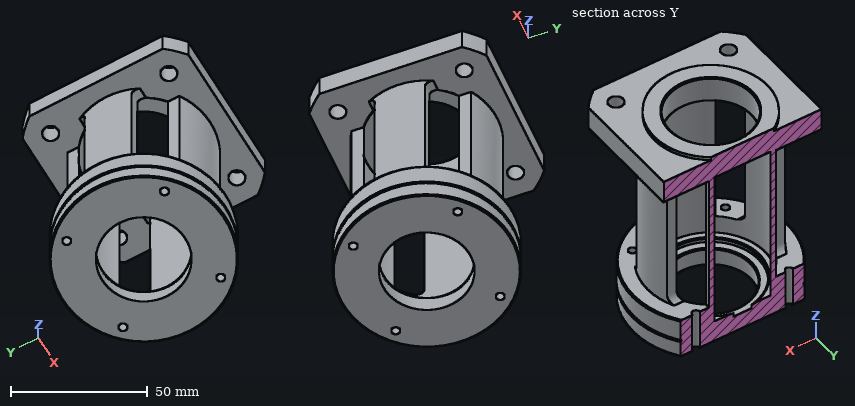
import cadquery as cq

total_height = 92
boss_height = 1.5
plate_thickness = 10.2
plate_top = total_height - boss_height
plate_bottom = plate_top - plate_thickness
flange_top = 18.0
flange_joint = 7.9

plate_width = 70.0
plate_corner_diameter = 89.8
boss_diameter = 50.0
plate_hole_diameter = 6.2
plate_hole_offset = 24.9

flange_diameter = 69
edge_chamfer = 0.5
flange_hole_diameter = 3.2
flange_hole_circle = 58.3

tube_diameter = 55.9
tube_bore = 48.0
seat_bore = 42.0
bottom_bore = 35
top_bore = 36.0
seat_top = 9.9
tube_bore_top = 80.9

side_leg_width = 19.8
front_leg_width = 30.0
window_radius = 4.3
window_overrun = 0.3


def cylinder(diameter, bottom, top):
    return cq.Workplane("XY").workplane(offset=bottom).circle(diameter / 2).extrude(top - bottom)


def chamfered_bore(diameter, bottom, top):
    """Bore cutter whose upper end widens by the edge chamfer."""
    radius = diameter / 2
    return (
        cq.Workplane("XZ")
        .moveTo(0, bottom)
        .lineTo(radius, bottom)
        .lineTo(radius, top - edge_chamfer)
        .lineTo(radius + edge_chamfer, top)
        .lineTo(0, top)
        .close()
        .revolve(360, (0, 0, 0), (0, 1, 0))
    )


def flange_disc(bottom, top):
    return cylinder(flange_diameter, bottom, top).edges().chamfer(edge_chamfer)


def make_plate():
    square = (
        cq.Workplane("XY")
        .workplane(offset=plate_bottom)
        .rect(plate_width, plate_width)
        .extrude(plate_thickness)
    )
    plate = square.intersect(cylinder(plate_corner_diameter, plate_bottom, plate_top))
    return plate.union(cylinder(boss_diameter, plate_bottom, total_height))


def make_legs():
    """Tube between flange and plate, cut by a window at each corner."""
    tube = cylinder(tube_diameter, flange_top, plate_bottom)
    window_size = tube_diameter / 2
    window_bottom = flange_top - window_overrun
    window_height = plate_bottom + window_overrun - window_bottom
    for x_side in (-1, 1):
        for y_side in (-1, 1):
            window = (
                cq.Workplane("XY")
                .box(window_size, window_size, window_height, centered=(True, True, False))
                .edges("|X")
                .fillet(window_radius)
                .translate((
                    x_side * (front_leg_width + window_size) / 2,
                    y_side * (side_leg_width + window_size) / 2,
                    window_bottom,
                ))
            )
            tube = tube.cut(window)
    return tube


result = flange_disc(0, flange_joint).union(flange_disc(flange_joint, flange_top))
result = result.union(make_legs()).union(make_plate())

result = result.cut(chamfered_bore(bottom_bore, 0, flange_joint))
result = result.cut(chamfered_bore(seat_bore, flange_joint, seat_top))
result = result.cut(cylinder(tube_bore, seat_top, tube_bore_top))
result = result.cut(chamfered_bore(top_bore, tube_bore_top, total_height))

plate_holes = (
    cq.Workplane("XY")
    .workplane(offset=plate_bottom)
    .rect(2 * plate_hole_offset, 2 * plate_hole_offset, forConstruction=True)
    .vertices()
    .circle(plate_hole_diameter / 2)
    .extrude(plate_thickness)
)
result = result.cut(plate_holes)

flange_holes = (
    cq.Workplane("XY")
    .polarArray(flange_hole_circle / 2, 45, 360, 4)
    .circle(flange_hole_diameter / 2)
    .extrude(flange_top)
)
result = result.cut(flange_holes)